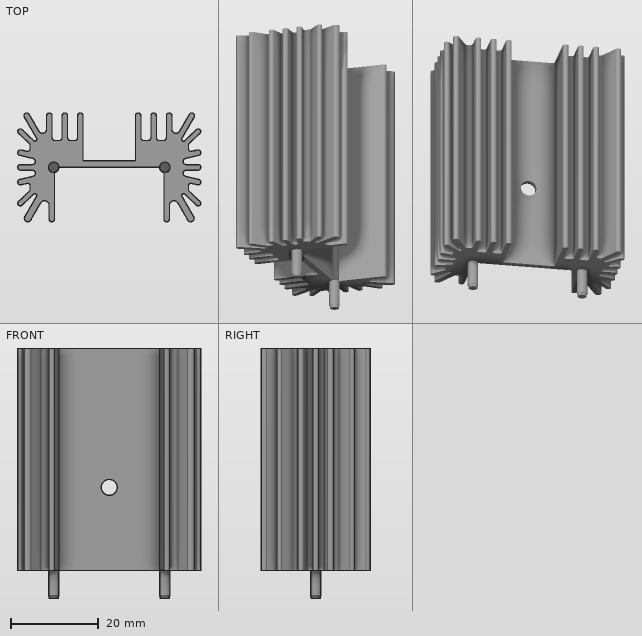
import cadquery as cq
import math

sink_height = 50.8
sink_width = 41.9
sink_depth = 24.9
half_width = sink_width / 2
half_depth = sink_depth / 2

web_front_y = 0.0
web_back_y = 1.55
pocket_half_width = 5.95
front_wall_x = 12.45

screw_hole_diameter = 3.6
screw_hole_height = 19.05

pin_diameter = 2.4
pin_x = 12.7
pin_y = 0.0
pin_length = 6.35
pin_insertion = 0.1
pin_tip_diameter = 2.1
pin_tip_length = 0.6

fin_width = 1.3
fin_radius = fin_width / 2
back_fin_count = 3
back_fin_pitch = 3.55
shallow_angle = 13.5
diagonal_angle = 43.5
steep_angle = 60.0
shallow_tip_y = 3.4
diagonal_tip_y = 8.25
steep_tip_x = 18.85
diagonal_width = 1.2
front_steep_tip_x = 18.65
front_steep_width = 1.6

back_valley_floor_y = 6.2
back_valley_radius = 0.6
side_valley_floor_x = 18.1
side_valley_radius = 0.5
corner_valley_radius = 0.9
front_valley_radius = 1.05
steep_valley_radius = 0.4
middle_valley_radius = 0.7


def make_fin(tip_x, tip_y, angle, width=fin_width):
    """A fin given by the centre of its round tip, its outward angle from +X and its width.

    Returns the centre of the tip, the outward direction and half the width.
    """
    direction = (math.cos(math.radians(angle)), math.sin(math.radians(angle)))
    return (tip_x, tip_y), direction, width / 2


def tip_points(fin):
    """Start, crown and end of the round tip, going counter-clockwise round the section."""
    (x, y), (dx, dy), r = fin
    return (x + dy * r, y - dx * r), (x + dx * r, y + dy * r), (x - dy * r, y + dx * r)


def meet(point_a, direction_a, point_b, direction_b):
    """Point where two lines cross."""
    cross = direction_a[0] * direction_b[1] - direction_a[1] * direction_b[0]
    gap_x = point_b[0] - point_a[0]
    gap_y = point_b[1] - point_a[1]
    along = (gap_x * direction_b[1] - gap_y * direction_b[0]) / cross
    return point_a[0] + along * direction_a[0], point_a[1] + along * direction_a[1]


def unit(start, end):
    """Unit vector from start to end."""
    length = math.dist(start, end)
    return (end[0] - start[0]) / length, (end[1] - start[1]) / length


def add_rounded_corner(path, before, corner, after, radius):
    """Draw to a corner and round it with an arc tangent to both of its sides."""
    back = unit(corner, before)
    ahead = unit(corner, after)
    half_angle = math.acos(back[0] * ahead[0] + back[1] * ahead[1]) / 2
    setback = radius / math.tan(half_angle)
    middle_distance = radius / math.sin(half_angle) - radius
    middle = unit((0, 0), (back[0] + ahead[0], back[1] + ahead[1]))
    path = path.lineTo(corner[0] + setback * back[0], corner[1] + setback * back[1])
    return path.threePointArc(
        (corner[0] + middle_distance * middle[0], corner[1] + middle_distance * middle[1]),
        (corner[0] + setback * ahead[0], corner[1] + setback * ahead[1]),
    )


def add_valley(path, fin, next_fin, radius, floor=None):
    """Draw the valley between two fins: one round end, or a flat floor with two round corners.

    A floor is given by a point on it and its direction.
    """
    start = tip_points(fin)[2]
    end = tip_points(next_fin)[0]
    if floor is None:
        corners = [meet(start, fin[1], end, next_fin[1])]
    else:
        corners = [meet(start, fin[1], *floor), meet(end, next_fin[1], *floor)]
    stops = [start, *corners, end]
    for before, corner, after in zip(stops, stops[1:], stops[2:]):
        path = add_rounded_corner(path, before, corner, after, radius)
    return path


def make_left_half():
    """Half of the section, outlined from the web round the back, outer and front fins."""
    side_tip_x = -half_width + fin_radius
    diagonal_tip_x = -half_width + diagonal_width / 2
    back_tip_y = half_depth - fin_radius
    front_steep_tip_y = -half_depth + front_steep_width / 2
    first_back_x = -pocket_half_width - fin_radius
    back_fins = [
        make_fin(first_back_x - i * back_fin_pitch, back_tip_y, 90) for i in range(back_fin_count)
    ]
    side_fins = [
        make_fin(-steep_tip_x, back_tip_y, 180 - steep_angle),
        make_fin(diagonal_tip_x, diagonal_tip_y, 180 - diagonal_angle, diagonal_width),
        make_fin(side_tip_x, shallow_tip_y, 180 - shallow_angle),
        make_fin(side_tip_x, 0, 180),
        make_fin(side_tip_x, -shallow_tip_y, 180 + shallow_angle),
        make_fin(diagonal_tip_x, -diagonal_tip_y, 180 + diagonal_angle, diagonal_width),
        make_fin(-front_steep_tip_x, front_steep_tip_y, 180 + steep_angle, front_steep_width),
    ]
    front_fin = make_fin(-front_wall_x - fin_radius, -half_depth + fin_radius, 270)
    fins = [*back_fins, *side_fins, front_fin]

    back_valley = (back_valley_radius, ((0, back_valley_floor_y), (1, 0)))
    side_valley = (side_valley_radius, ((-side_valley_floor_x, 0), (0, 1)))
    valleys = [
        *[back_valley] * (back_fin_count - 1),
        (corner_valley_radius,),
        (steep_valley_radius,),
        side_valley,
        (middle_valley_radius,),
        (middle_valley_radius,),
        side_valley,
        (steep_valley_radius,),
        (front_valley_radius,),
    ]

    path = cq.Workplane("XY").moveTo(0, web_front_y).lineTo(0, web_back_y)
    path = path.lineTo(-pocket_half_width, web_back_y).lineTo(*tip_points(fins[0])[0])
    path = path.threePointArc(*tip_points(fins[0])[1:])
    for fin, next_fin, valley in zip(fins, fins[1:], valleys):
        path = add_valley(path, fin, next_fin, *valley)
        start, crown, end = tip_points(next_fin)
        path = path.lineTo(*start).threePointArc(crown, end)
    return path.lineTo(-front_wall_x, web_front_y).close().extrude(sink_height)


def make_heat_sink():
    """Both halves, with the open pin bores and the screw hole."""
    left_half = make_left_half()
    sink = left_half.union(left_half.mirror("YZ"))
    bores = (
        cq.Workplane("XY")
        .pushPoints([(-pin_x, pin_y), (pin_x, pin_y)])
        .circle(pin_diameter / 2)
        .extrude(sink_height)
    )
    screw_hole = (
        cq.Workplane("XZ")
        .center(0, screw_hole_height)
        .circle(screw_hole_diameter / 2)
        .extrude(half_depth, both=True)
    )
    return sink.cut(bores).cut(screw_hole)


def make_pin(x):
    """A pin with a short stepped-down tip at its lower end."""
    shank_length = pin_length - pin_tip_length + pin_insertion
    shank = (
        cq.Workplane("XY", origin=(x, pin_y, pin_insertion))
        .circle(pin_diameter / 2)
        .extrude(-shank_length)
    )
    return shank.faces("<Z").workplane().circle(pin_tip_diameter / 2).extrude(pin_tip_length)


heat_sink = make_heat_sink()
pins = [make_pin(x) for x in (-pin_x, pin_x)]
result = cq.Compound.makeCompound([heat_sink.val(), *[pin.val() for pin in pins]])